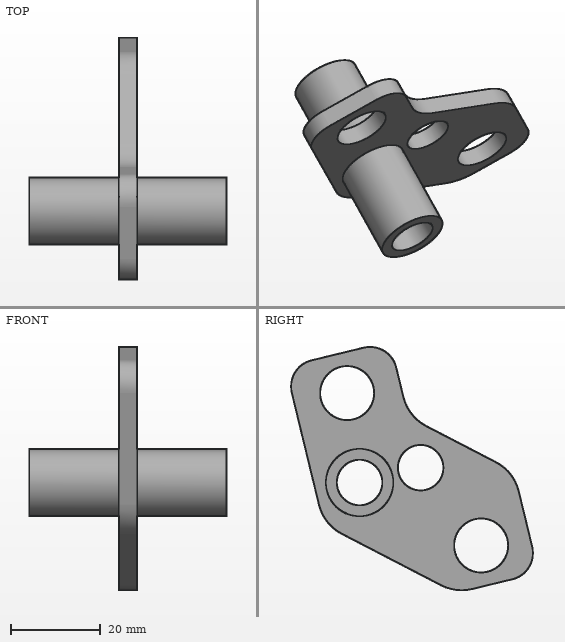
import cadquery as cq
import math

TUBE_LENGTH = 44.0
TUBE_DIAMETER = 15.0
BORE_DIAMETER = 10.1

PLATE_THICKNESS = 4.0
PLATE_TILT = 13.65
PLATE_HEIGHT = 58.0
HALF_HEIGHT = PLATE_HEIGHT / 2
NEAR_SIDE = -10.0
NECK_SIDE = 14.0
FAR_SIDE = 34.0
ARM_LOWER_OFFSET = -12.0
ARM_UPPER_OFFSET = 18.0

CORNER_RADIUS = 6.0
BEND_RADIUS = 10.0

BOLT_HOLE_DIAMETER = 12.0
BOLT_SPACING = 20.0
UPPER_BOLT_HOLE = (2.0, BOLT_SPACING)
LOWER_BOLT_HOLE = (23.0, -BOLT_SPACING)
MIDDLE_HOLE = (NECK_SIDE, 0)
MIDDLE_HOLE_DIAMETER = BORE_DIAMETER

ARM_ANGLE = math.atan2(LOWER_BOLT_HOLE[1], LOWER_BOLT_HOLE[0])


def arm_edge_along(across, offset):
    """Height of an arm edge at a given position across the plate."""
    return across * math.tan(ARM_ANGLE) + offset / math.cos(ARM_ANGLE)


def arm_edge_across(along, offset):
    """Position across the plate where an arm edge reaches a given height."""
    return (along - offset / math.cos(ARM_ANGLE)) / math.tan(ARM_ANGLE)


def plate_plane():
    return cq.Workplane("YZ", origin=(-PLATE_THICKNESS / 2, 0, 0))


def round_corners(plate, corners, radius):
    """Round the edges that pass through the given outline corners."""
    for across, along in corners:
        edge = cq.selectors.NearestToPointSelector((0, across, along))
        plate = plate.edges("|X").edges(edge).fillet(radius)
    return plate


def make_plate():
    square_corners = [
        (NEAR_SIDE, HALF_HEIGHT),
        (NECK_SIDE, HALF_HEIGHT),
        (FAR_SIDE, -HALF_HEIGHT),
    ]
    top_near, top_neck, bottom_far = square_corners
    inner_bend = (NECK_SIDE, arm_edge_along(NECK_SIDE, ARM_UPPER_OFFSET))
    far_bend = (FAR_SIDE, arm_edge_along(FAR_SIDE, ARM_UPPER_OFFSET))
    bottom_bend = (arm_edge_across(-HALF_HEIGHT, ARM_LOWER_OFFSET), -HALF_HEIGHT)
    near_bend = (NEAR_SIDE, arm_edge_along(NEAR_SIDE, ARM_LOWER_OFFSET))

    outline = [top_near, top_neck, inner_bend, far_bend, bottom_far, bottom_bend, near_bend]
    plate = plate_plane().polyline(outline).close().extrude(PLATE_THICKNESS)
    plate = round_corners(plate, square_corners, CORNER_RADIUS)
    plate = round_corners(plate, [inner_bend, far_bend, bottom_bend, near_bend], BEND_RADIUS)

    holes = [
        (UPPER_BOLT_HOLE, BOLT_HOLE_DIAMETER),
        (LOWER_BOLT_HOLE, BOLT_HOLE_DIAMETER),
        (MIDDLE_HOLE, MIDDLE_HOLE_DIAMETER),
        ((0, 0), TUBE_DIAMETER),
    ]
    for centre, diameter in holes:
        plate = plate.cut(plate_plane().center(*centre).circle(diameter / 2).extrude(PLATE_THICKNESS))

    return plate.rotate((0, 0, 0), (1, 0, 0), PLATE_TILT)


def make_tube():
    return (
        cq.Workplane("YZ", origin=(-TUBE_LENGTH / 2, 0, 0))
        .circle(TUBE_DIAMETER / 2)
        .circle(BORE_DIAMETER / 2)
        .extrude(TUBE_LENGTH)
    )


plate = make_plate()
tube = make_tube()

result = cq.Compound.makeCompound([plate.solids().val(), tube.val()])